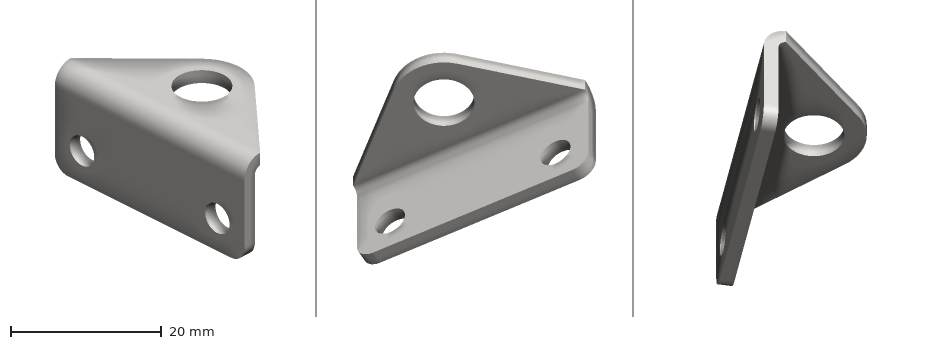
import cadquery as cq
import math

width = 35.0
depth = 16.98
height = 16.0
thickness = 2.0

bend_outer_radius = 3.0
bend_inner_radius = bend_outer_radius - thickness

corner_radius = 2.5
mount_hole_diameter = 4.5
mount_hole_spacing = 25.0
mount_hole_height = 5.0

nose_radius = 7.0
nose_center_y = depth - nose_radius
large_hole_diameter = 8.1


def bent_sheet():
    """L-shaped sheet with a rounded bend, centred on X, front face at Y = 0."""
    profile = (
        cq.Workplane("YZ")
        .polyline([
            (0, 0),
            (0, height),
            (depth, height),
            (depth, height - thickness),
            (thickness, height - thickness),
            (thickness, 0),
        ])
        .close()
        .extrude(width / 2, both=True)
    )
    outer_edge = cq.selectors.NearestToPointSelector((0, 0, height))
    inner_edge = cq.selectors.NearestToPointSelector((0, thickness, height - thickness))
    profile = profile.edges("|X").edges(outer_edge).fillet(bend_outer_radius)
    return profile.edges("|X").edges(inner_edge).fillet(bend_inner_radius)


def flange_outline():
    """Vertical prism: straight sides at the bend, then tangent lines to the nose."""
    half_width = width / 2
    shoulder_drop = nose_center_y - bend_outer_radius
    shoulder_distance = math.hypot(half_width, shoulder_drop)
    tangent_angle = math.acos(nose_radius / shoulder_distance) - math.atan2(shoulder_drop, half_width)
    tangent_x = nose_radius * math.cos(tangent_angle)
    tangent_y = nose_center_y + nose_radius * math.sin(tangent_angle)
    return (
        cq.Workplane("XY")
        .moveTo(-half_width, 0)
        .lineTo(half_width, 0)
        .lineTo(half_width, bend_outer_radius)
        .lineTo(tangent_x, tangent_y)
        .threePointArc((0, depth), (-tangent_x, tangent_y))
        .lineTo(-half_width, bend_outer_radius)
        .close()
        .extrude(height)
    )


def large_hole():
    return (
        cq.Workplane("XY")
        .center(0, nose_center_y)
        .circle(large_hole_diameter / 2)
        .extrude(height)
    )


def mount_holes():
    return (
        cq.Workplane("XZ")
        .pushPoints([(side * mount_hole_spacing / 2, mount_hole_height) for side in (-1, 1)])
        .circle(mount_hole_diameter / 2)
        .extrude(-thickness)
    )


bracket = bent_sheet().intersect(flange_outline())
lower_corners = cq.selectors.BoxSelector(
    (-width, -thickness, -thickness), (width, 2 * thickness, thickness)
)
bracket = bracket.edges("|Y").edges(lower_corners).fillet(corner_radius)
result = bracket.cut(large_hole()).cut(mount_holes())